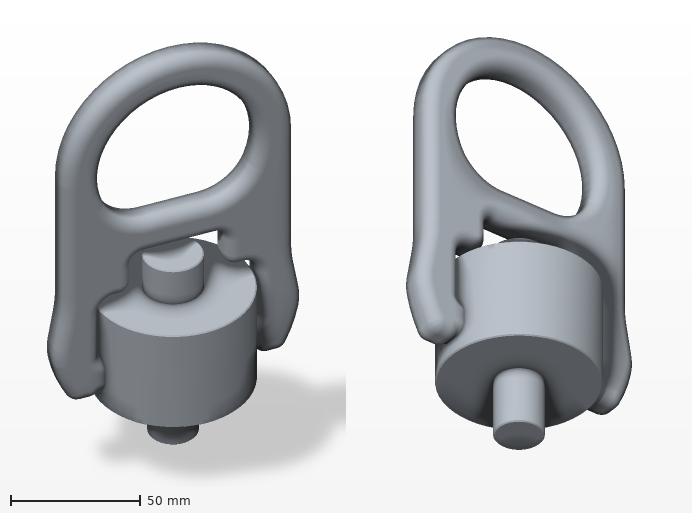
import cadquery as cq
import math


body_diameter = 65.0
body_height = 44.4
head_diameter = 24.0
head_height = 16.0
stud_diameter = 20.0
stud_length = 25.0
edge_break = 0.5

ring_thickness = 14.0
edge_radius = 5.0
overall_height = 182.4
ring_top = overall_height - stud_length
ring_half_width = 48.5
ring_center_z = ring_top - ring_half_width

eye_radius = 33.4
eye_corner_radius = 20.0
eye_flat_half = 12.4

neck_start_z = 53.9
neck_radius = 55.0
neck_slope = 10.0
bulge_half_width = 51.96
bulge_radius = 23.0
bulge_end_slope = 11.0
foot_radius = 58.6

corner_clearance = 0.02
corner_radius = edge_radius + corner_clearance
foot_bottom = 4.5
foot_inner_y = 37.5
foot_ramp_angle = 45.0

bar_bottom = 6.65
bar_top = 21.7
bar_lower_blend = 1.0
bar_upper_blend = 2.0

window_top = 68.8
window_top_half = 20.0
window_top_radius = 5.0
window_step_z = 51.0
window_half = 33.5
window_step_radius = 6.5

same_point_distance = 1e-6


def circle_point(center, radius, angle):
    """Point on a circle, with the angle in degrees from +Y towards +Z."""
    turn = math.radians(angle)
    return (center[0] + radius * math.cos(turn), center[1] + radius * math.sin(turn))


def mirrored(arcs):
    """The arcs reflected to the other side of the Z axis, in the order that continues the outline."""
    return [((-y, z), radius, 180 - end, 180 - start) for (y, z), radius, start, end in reversed(arcs)]


def plate(arcs):
    """Plate in the YZ plane; its outline is a chain of arcs (center, radius, start, end) joined by lines."""
    first_center, first_radius, first_angle, _ = arcs[0]
    previous = circle_point(first_center, first_radius, first_angle)
    outline = cq.Workplane("YZ", origin=(-ring_thickness / 2, 0, 0)).moveTo(*previous)
    for center, radius, start, end in arcs:
        first = circle_point(center, radius, start)
        if math.dist(first, previous) > same_point_distance:
            outline = outline.lineTo(*first)
        previous = circle_point(center, radius, end)
        outline = outline.threePointArc(circle_point(center, radius, (start + end) / 2), previous)
    return outline.close().extrude(ring_thickness)


def ring_outline():
    neck_center = (ring_half_width + neck_radius, neck_start_z)
    neck_end = circle_point(neck_center, neck_radius, 180 + neck_slope)

    bulge_y = bulge_half_width - bulge_radius
    bulge_start_y = circle_point((bulge_y, 0), bulge_radius, neck_slope)[0]
    flank_drop = (bulge_start_y - neck_end[0]) / math.tan(math.radians(neck_slope))
    bulge_start_z = neck_end[1] - flank_drop
    bulge_center = (bulge_y, bulge_start_z - bulge_radius * math.sin(math.radians(neck_slope)))

    foot_center = circle_point(bulge_center, bulge_radius - foot_radius, -bulge_end_slope)
    tip_z = foot_bottom + corner_radius
    tip_reach = foot_radius - corner_radius
    foot_end_angle = -math.degrees(math.asin((foot_center[1] - tip_z) / tip_reach))
    tip_outer = circle_point(foot_center, tip_reach, foot_end_angle)
    tip_inner = (foot_inner_y, tip_z)

    ramp = math.radians(foot_ramp_angle)
    ramp_blend_z = bar_bottom - bar_lower_blend
    centers_apart = (corner_radius + bar_lower_blend) / math.sin(ramp)
    ramp_blend_y = tip_inner[0] + (tip_z - ramp_blend_z) / math.tan(ramp) - centers_apart
    ramp_angle = 270 - foot_ramp_angle

    side = [
        ((ramp_blend_y, ramp_blend_z), bar_lower_blend, 90, ramp_angle - 180),
        (tip_inner, corner_radius, ramp_angle, 270),
        (tip_outer, corner_radius, -90, foot_end_angle),
        (foot_center, foot_radius, foot_end_angle, -bulge_end_slope),
        (bulge_center, bulge_radius, -bulge_end_slope, neck_slope),
        (neck_center, neck_radius, 180 + neck_slope, 180),
    ]
    crown = [((0, ring_center_z), ring_half_width, 0, 180)]
    return side + crown + mirrored(side)


def eye_outline():
    corner_drop = math.sqrt((eye_radius - eye_corner_radius) ** 2 - eye_flat_half ** 2)
    join_angle = -math.degrees(math.atan2(corner_drop, eye_flat_half))
    corner = [((eye_flat_half, ring_center_z - corner_drop), eye_corner_radius, -90, join_angle)]
    arch = [((0, ring_center_z), eye_radius, join_angle, 180 - join_angle)]
    return corner + arch + mirrored(corner)


def window_outline():
    lower = (window_half - bar_upper_blend, bar_top + bar_upper_blend)
    step_inset = window_half - window_step_radius
    step = (step_inset, window_step_z - window_step_radius)
    shoulder = (window_top_half + corner_radius, window_step_z + corner_radius)
    top = (window_top_half - window_top_radius, window_top - window_top_radius)
    side = [
        (lower, bar_upper_blend, -90, 0),
        (step, window_step_radius, 0, 90),
        (shoulder, corner_radius, 270, 180),
        (top, window_top_radius, 0, 90),
    ]
    return side + mirrored(side)


def lifting_ring():
    ring = plate(ring_outline()).cut(plate(eye_outline())).cut(plate(window_outline()))
    return ring.faces("<X or >X").edges().fillet(edge_radius)


def cylinder(diameter, bottom, height):
    return cq.Workplane("XY", origin=(0, 0, bottom)).circle(diameter / 2).extrude(height)


def swivel_body():
    body = cylinder(body_diameter, 0, body_height).faces("<Z or >Z").edges().chamfer(edge_break)
    head = cylinder(head_diameter, body_height, head_height).faces(">Z").edges().chamfer(edge_break)
    stud = cylinder(stud_diameter, -stud_length, stud_length).faces("<Z").edges().chamfer(edge_break)
    return body.union(head).union(stud)


result = swivel_body().union(lifting_ring())